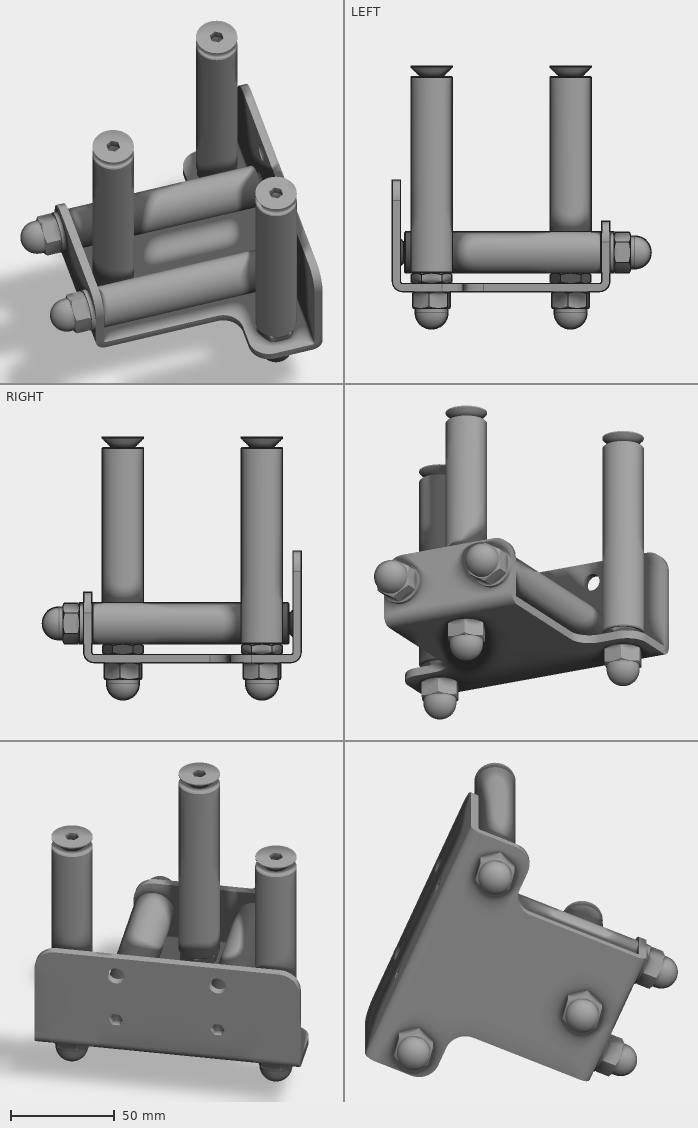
import cadquery as cq
import math

back_width = 130.0
front_width = 70.0
bracket_depth = 105.0
back_height = 54.0
front_height = 34.0
wing_depth = 34.0
sheet = 4.0
bend_inner_radius = 1.0
bend_outer_radius = bend_inner_radius + sheet
corner_radius = 10.0

mount_hole_diameter = 8.5
mount_hole_x = 25.0
mount_hole_z = 44.0

spacer_diameter = 20.0
spacer_length = 95.0
spacer_chamfer = 0.5
shank_diameter = 10.0
head_diameter = spacer_diameter
head_height = 5.0
head_lip = 0.5
socket_flats = 6.0
socket_depth = 3.9
hex_flats = 17.0
jam_nut_height = 5.0
cap_hex_height = 8.0
cap_collar_height = 2.0
dome_diameter = 16.0
washer_diameter = spacer_diameter
washer_thickness = 2.0

upright_x = 50.0
upright_back_y = -19.0
upright_front_y = -86.0
level_x = mount_hole_x
level_z = 19.0

corner_along_x = 0.0
corner_along_y = 90.0
upright_cap_corner = -7.7

nut_bevel_angle = 30.0
drill_point_angle = 30.0

hex_half_sector = 30.0


def corner_diameter(flats):
    """Diameter across the corners of a hexagon."""
    return flats / math.cos(math.radians(hex_half_sector))


def cylinder(diameter, start, length):
    return cq.Workplane("XY").workplane(offset=start).circle(diameter / 2).extrude(length)


def hex_prism(flats, start, height, corner_angle):
    prism = cq.Workplane("XY").workplane(offset=start).polygon(6, corner_diameter(flats)).extrude(height)
    return prism.rotate((0, 0, 0), (0, 0, 1), corner_angle)


def nut_body(start, height, corner_angle):
    """Hexagon whose corners are bevelled on both end faces."""
    outer_radius = corner_diameter(hex_flats) / 2
    bevel_width = outer_radius - hex_flats / 2
    bevel_height = bevel_width * math.tan(math.radians(nut_bevel_angle))
    envelope = (
        cq.Workplane("XZ")
        .moveTo(0, start)
        .lineTo(hex_flats / 2, start)
        .lineTo(outer_radius, start + bevel_height)
        .lineTo(outer_radius, start + height - bevel_height)
        .lineTo(hex_flats / 2, start + height)
        .lineTo(0, start + height)
        .close()
        .revolve(360, (0, 0), (0, 1))
    )
    return hex_prism(hex_flats, start, height, corner_angle).intersect(envelope)


def cap_nut(seat, corner_angle):
    """Domed nut that hangs down from the height of its seat."""
    hex_end = seat - cap_hex_height
    collar_end = hex_end - cap_collar_height
    dome_radius = dome_diameter / 2
    dome = (
        cq.Workplane("XZ")
        .moveTo(0, hex_end)
        .lineTo(dome_radius, hex_end)
        .lineTo(dome_radius, collar_end)
        .radiusArc((0, collar_end - dome_radius), dome_radius)
        .close()
        .revolve(360, (0, 0), (0, 1))
    )
    return nut_body(hex_end, cap_hex_height, corner_angle).union(dome)


def spacer(start):
    return cylinder(spacer_diameter, start, spacer_length).edges().chamfer(spacer_chamfer)


def screw(bottom, top):
    """Countersunk screw with a 45 degree cone under a thin lip."""
    head_radius = head_diameter / 2
    shank_radius = shank_diameter / 2
    cone_top = top - head_lip
    cone_bottom = cone_top - (head_radius - shank_radius)
    return (
        cq.Workplane("XZ")
        .moveTo(0, bottom)
        .lineTo(shank_radius, bottom)
        .lineTo(shank_radius, cone_bottom)
        .lineTo(head_radius, cone_top)
        .lineTo(head_radius, top)
        .lineTo(0, top)
        .close()
        .revolve(360, (0, 0), (0, 1))
    )


def screw_socket(top):
    """Hexagon socket that ends in a drill point."""
    socket_bottom = top - socket_depth
    point_radius = socket_flats / 2
    point_depth = point_radius * math.tan(math.radians(drill_point_angle))
    point = (
        cq.Workplane("XZ")
        .moveTo(0, socket_bottom)
        .lineTo(point_radius, socket_bottom)
        .lineTo(0, socket_bottom - point_depth)
        .close()
        .revolve(360, (0, 0), (0, 1))
    )
    return hex_prism(socket_flats, socket_bottom, socket_depth, corner_along_x).union(point)


def bracket():
    half_width = back_width / 2
    sheet_section = (
        cq.Workplane("YZ", origin=(-half_width, 0, 0))
        .moveTo(0, back_height)
        .lineTo(0, bend_outer_radius)
        .radiusArc((-bend_outer_radius, 0), bend_outer_radius)
        .lineTo(bend_outer_radius - bracket_depth, 0)
        .radiusArc((-bracket_depth, bend_outer_radius), bend_outer_radius)
        .lineTo(-bracket_depth, front_height)
        .lineTo(sheet - bracket_depth, front_height)
        .lineTo(sheet - bracket_depth, bend_outer_radius)
        .radiusArc((bend_outer_radius - bracket_depth, sheet), -bend_inner_radius)
        .lineTo(-bend_outer_radius, sheet)
        .radiusArc((-sheet, bend_outer_radius), -bend_inner_radius)
        .lineTo(-sheet, back_height)
        .close()
    )
    body = sheet_section.extrude(back_width)

    half_tongue = front_width / 2
    plan = (
        cq.Workplane("XY")
        .moveTo(0, 0)
        .lineTo(half_width, 0)
        .lineTo(half_width, corner_radius - wing_depth)
        .radiusArc((half_width - corner_radius, -wing_depth), corner_radius)
        .lineTo(half_tongue + corner_radius, -wing_depth)
        .radiusArc((half_tongue, -wing_depth - corner_radius), -corner_radius)
        .lineTo(half_tongue, -bracket_depth)
        .lineTo(0, -bracket_depth)
        .mirrorY()
        .extrude(back_height)
    )
    body = body.intersect(plan)

    body = body.faces(">Z").edges("|Y").fillet(corner_radius)
    front_plate_top = cq.selectors.BoxSelector(
        (-half_width, -bracket_depth - sheet, front_height - sheet),
        (half_width, -bracket_depth + sheet, front_height + sheet),
    )
    body = body.edges("|Y").edges(front_plate_top).fillet(corner_radius)

    mount_holes = (
        cq.Workplane("XZ")
        .pushPoints([(-mount_hole_x, mount_hole_z), (mount_hole_x, mount_hole_z)])
        .circle(mount_hole_diameter / 2)
        .extrude(sheet)
    )
    return body.cut(mount_holes)


def place_upright(shape, x, y):
    """Stand a rod part on the floor, with its nut seat on the underside."""
    return shape.translate((x, y, 0))


def place_level(shape, x):
    """Lay a rod part along Y, with its nut seat on the outer face of the front plate."""
    return shape.rotate((0, 0, 0), (1, 0, 0), -90).translate((x, -bracket_depth, level_z))


upright_spacer_start = sheet + jam_nut_height
upright_top = upright_spacer_start + spacer_length + head_height
upright_rod = (
    screw(-cap_hex_height, upright_top)
    .union(cap_nut(0, upright_cap_corner))
    .union(nut_body(sheet, jam_nut_height, corner_along_y))
    .union(spacer(upright_spacer_start))
)

level_top = bracket_depth
level_rod = (
    screw(-cap_hex_height, level_top)
    .union(cylinder(washer_diameter, -washer_thickness, washer_thickness))
    .union(cap_nut(-washer_thickness, corner_along_y))
    .union(spacer(sheet))
)

upright_places = [
    (-upright_x, upright_back_y),
    (upright_x, upright_back_y),
    (0, upright_front_y),
]

result = bracket()
for x, y in upright_places:
    result = result.union(place_upright(upright_rod, x, y))
    result = result.cut(place_upright(screw_socket(upright_top), x, y))
for x in (-level_x, level_x):
    result = result.union(place_level(level_rod, x))
    result = result.cut(place_level(screw_socket(level_top), x))